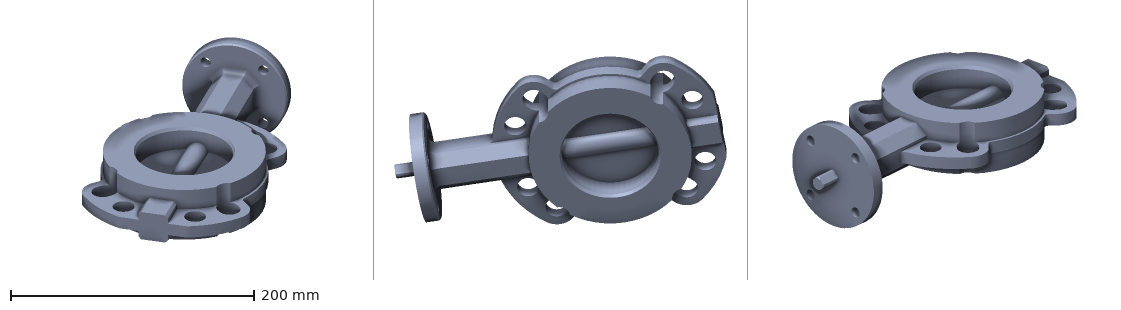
import cadquery as cq
import math


body_radius = 67.0
body_height = 46.5

plate_radius = 69.0
plate_thickness = 10.6
plate_bottom_y = -92.0
lobe_radius = 87.0
lobe_center_y = 10.0
lug_pitch_radius = 76.71
lug_end_radius = 17.0
lug_root_fillet = 4.0
bottom_corner_fillet = 10.0

bolt_hole_diameter = 18.0
bolt_pitch_radius = 80.0
bolt_angle_from_stem = 22.5
slot_angle_from_stem = 45.0
slot_width = 18.4
slot_inner_pitch_radius = 73.3

neck_width = 35.5
neck_chamfer = 9.2
neck_plate_fillet = 3.0
neck_flange_fillet = 5.0
flange_radius = 45.0
flange_bottom_y = 148.0
flange_thickness = 12.0
flange_chamfer = 1.2
flange_hole_diameter = 9.0
flange_pitch_diameter = 70.0

boss_width = 25.5
boss_chamfer = 2.5

liner_radius = 60.0
bore_radius = 40.0
bore_mouth_radius = 41.6
bore_mouth_depth = 2.7

disc_rim_thickness = 6.0
disc_center_thickness = 7.0
hub_radius = 10.0

stem_diameter = 12.6
stem_top_y = 179.0
stem_bottom_y = -80.0
stem_square = 10.5
stem_chamfer = 1.0

flange_top_y = flange_bottom_y + flange_thickness
half_height = body_height / 2


def cylinder_z(radius, height):
    """Cylinder on the flow axis, centred on the XY plane."""
    return cq.Workplane("XY", origin=(0, 0, -height / 2)).circle(radius).extrude(height)


def bar_y(profile_width, corner_chamfer, y_start, y_end):
    """Square bar along the stem axis with its four long edges chamfered."""
    bar = cq.Workplane("XY").box(
        profile_width, y_end - y_start, profile_width, centered=(True, False, True)
    )
    return bar.edges("|Y").chamfer(corner_chamfer).translate((0, y_start, 0))


def cylinder_y(radius, y_start, y_end):
    """Cylinder on the stem axis between two Y positions."""
    return cq.Workplane("XZ", origin=(0, y_start, 0)).circle(radius).extrude(y_start - y_end)


def make_stem_bore():
    """Blind bore on the stem axis, open at the actuator flange."""
    return cylinder_y(stem_diameter / 2, stem_bottom_y, flange_top_y)


def make_lobe():
    """Upper half of the lug plate: two rounded lugs joined by one large arc."""
    diagonal = math.sqrt(0.5)
    lug_x = lug_pitch_radius * diagonal
    lug_y = lug_x

    flank_x = lug_x + lug_end_radius * diagonal
    flank_y = lug_y - lug_end_radius * diagonal
    foot_x = flank_x - flank_y

    touch_angle = math.atan2(lug_y - lobe_center_y, lug_x)
    touch_x = lug_x + lug_end_radius * math.cos(touch_angle)
    touch_y = lug_y + lug_end_radius * math.sin(touch_angle)
    tip_x = lug_x + lug_end_radius

    return (
        cq.Workplane("XY", origin=(0, 0, -plate_thickness / 2))
        .moveTo(foot_x, 0)
        .lineTo(flank_x, flank_y)
        .threePointArc((tip_x, lug_y), (touch_x, touch_y))
        .threePointArc((0, lobe_center_y + lobe_radius), (-touch_x, touch_y))
        .threePointArc((-tip_x, lug_y), (-flank_x, flank_y))
        .lineTo(-foot_x, 0)
        .close()
        .extrude(plate_thickness)
    )


def make_plate():
    """Plate around the body: a disc with two lobes, cut flat at the bottom."""
    lobe = make_lobe()
    plate = cylinder_z(plate_radius, plate_thickness).union(lobe).union(lobe.mirror("XZ"))
    below = cq.Workplane("XY").box(
        4 * plate_radius, plate_radius, 2 * plate_thickness, centered=(True, False, True)
    )
    plate = plate.cut(below.translate((0, plate_bottom_y - plate_radius, 0)))

    flank_offset = 2 * lug_end_radius * math.sqrt(0.5)
    root_y = (math.sqrt(2 * plate_radius**2 - flank_offset**2) - flank_offset) / 2
    root_x = root_y + flank_offset
    for side in (-1, 1):
        for end in (-1, 1):
            root_edge = cq.selectors.NearestToPointSelector((side * root_x, end * root_y, 0))
            plate = plate.edges("|Z").edges(root_edge).fillet(lug_root_fillet)
    return plate.edges("|Z").edges("<Y").fillet(bottom_corner_fillet)


def make_flange():
    """Actuator flange with its neck and the fillet between them."""
    flange = cylinder_y(flange_radius, flange_bottom_y, flange_top_y)
    flange = flange.faces("<Y").edges().chamfer(flange_chamfer)
    flange = flange.union(bar_y(neck_width, neck_chamfer, 0, flange_bottom_y))

    reach = 0.6 * neck_width
    neck_outline = cq.selectors.BoxSelector(
        (-reach, flange_bottom_y - flange_chamfer, -reach),
        (reach, flange_bottom_y + flange_chamfer, reach),
        boundingbox=True,
    )
    flange = flange.edges(neck_outline).fillet(neck_flange_fillet)

    hole = cylinder_y(flange_hole_diameter / 2, flange_bottom_y, flange_top_y)
    hole_offset = flange_pitch_diameter / 2 * math.sqrt(0.5)
    for x in (-hole_offset, hole_offset):
        for z in (-hole_offset, hole_offset):
            flange = flange.cut(hole.translate((x, 0, z)))
    return flange


def cut_bolt_holes(housing):
    """Round holes beside the stem axis and diagonal slots that also notch the body ring."""
    round_hole = cylinder_z(bolt_hole_diameter / 2, body_height).translate((0, bolt_pitch_radius, 0))
    slot_length = lug_pitch_radius - slot_inner_pitch_radius + slot_width
    slot_center = (lug_pitch_radius + slot_inner_pitch_radius) / 2
    slot = (
        cq.Workplane("XY", origin=(0, slot_center, -half_height))
        .slot2D(slot_length, slot_width, 90)
        .extrude(body_height)
    )
    axis_start = (0, 0, 0)
    axis_end = (0, 0, 1)
    for stem_end in (0, 180):
        for side in (-1, 1):
            hole_angle = stem_end + side * bolt_angle_from_stem
            slot_angle = stem_end + side * slot_angle_from_stem
            housing = housing.cut(round_hole.rotate(axis_start, axis_end, hole_angle))
            housing = housing.cut(slot.rotate(axis_start, axis_end, slot_angle))
    return housing


def make_housing():
    """Body ring, lug plate, neck, actuator flange and bottom boss as one casting."""
    housing = make_plate().union(make_flange())

    half_neck = neck_width / 2
    rim_y = lobe_center_y + math.sqrt(lobe_radius**2 - half_neck**2)
    for x in (-half_neck, half_neck):
        rim_edge = cq.selectors.NearestToPointSelector((x, rim_y, 0))
        housing = housing.edges("|Z").edges(rim_edge).fillet(neck_plate_fillet)

    housing = housing.union(bar_y(boss_width, boss_chamfer, plate_bottom_y, 0))
    housing = housing.union(cylinder_z(body_radius, body_height))
    housing = cut_bolt_holes(housing)
    housing = housing.cut(cylinder_z(liner_radius, body_height))
    return housing.cut(make_stem_bore())


def make_liner():
    """Sleeve with a conical mouth at each end of the bore, revolved about the flow axis."""
    mouth_z = half_height - bore_mouth_depth
    profile = [
        (liner_radius, -half_height),
        (liner_radius, half_height),
        (bore_mouth_radius, half_height),
        (bore_radius, mouth_z),
        (bore_radius, -mouth_z),
        (bore_mouth_radius, -half_height),
    ]
    liner = cq.Workplane("XZ").polyline(profile).close().revolve(360, (0, 0, 0), (0, 1, 0))
    return liner.cut(make_stem_bore())


def make_disc():
    """Closed disc, slightly conical on both faces, with a round hub along the stem."""
    half_rim = disc_rim_thickness / 2
    half_center = disc_center_thickness / 2
    profile = [
        (0, -half_center),
        (bore_radius, -half_rim),
        (bore_radius, half_rim),
        (0, half_center),
    ]
    disc = cq.Workplane("XZ").polyline(profile).close().revolve(360, (0, 0, 0), (0, 1, 0))
    hub = cylinder_y(hub_radius, -bore_radius, bore_radius)
    hub = hub.intersect(cylinder_z(bore_radius, body_height))
    return disc.union(hub).cut(make_stem_bore())


def make_stem():
    """Round stem whose driving end is a square, corners up, with turned-off corners."""
    stem = cylinder_y(stem_diameter / 2, stem_bottom_y, stem_top_y)
    stem = stem.faces(">Y").edges().chamfer(stem_chamfer)
    square_length = stem_top_y - flange_top_y
    square = (
        cq.Workplane("XY")
        .box(stem_square, square_length, stem_square, centered=(True, False, True))
        .rotate((0, 0, 0), (0, 1, 0), 45)
        .translate((0, flange_top_y, 0))
    )
    corner_waste = cylinder_y(stem_diameter, flange_top_y, stem_top_y).cut(square)
    return stem.cut(corner_waste)


housing = make_housing()
liner = make_liner()
disc = make_disc()
stem = make_stem()

result = cq.Compound.makeCompound([housing.val(), liner.val(), disc.val(), stem.val()])